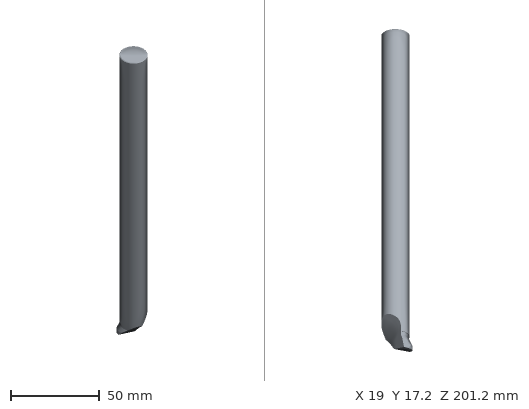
import cadquery as cq
import math

shank_diameter = 15.9
shank_radius = shank_diameter / 2
overall_length = 201.2
top_chamfer = 0.5

neck_top = 11.5
neck_bottom = 9.5
neck_radius = 7.6
flare_slope = 0.45
head_radius = 9.9
head_center_x = -1.2
head_center_y = 0.7

rake_angle = 5.0
rake_offset = 0.8

insert_tip_angle = 55.0
insert_lead_angle = 17.5
insert_edge = 7.8
insert_thickness = 2.5
insert_nose_radius = 0.6
insert_clearance = 7.0
tip_x = -11.3
tip_z = -0.08

end_clearance = 3.0
side_clearance = 8.0
side_clearance_length = 9.0

pocket_lead = 20.0
ramp_foot_z = 13.7
ramp_angle = 46.0
ramp_fillet = 9.0

bevel_top_z = 12.7
bevel_foot_z = 3.5

reach = 40.2

side_edge_angle = insert_lead_angle + insert_tip_angle


def on_rake_plane(shape):
    """Move a shape built on the XZ plane through the axis onto the rake plane."""
    return shape.rotate((0, 0, 0), (0, 0, 1), rake_angle).translate((0, rake_offset, 0))


def along(start, angle, distance):
    """Point at a distance from start, in a direction given in degrees from +X."""
    direction = math.radians(angle)
    return (start[0] + distance * math.cos(direction), start[1] + distance * math.sin(direction))


tip = (tip_x, tip_z)


def make_insert():
    """Diamond plate with a rounded nose, narrowing away from its rake face."""
    end_corner = along(tip, insert_lead_angle, insert_edge)
    side_corner = along(tip, side_edge_angle, insert_edge)
    far_corner = along(end_corner, side_edge_angle, insert_edge)
    plate = (
        cq.Workplane("XZ")
        .polyline([tip, end_corner, far_corner, side_corner])
        .close()
        .extrude(insert_thickness, taper=insert_clearance)
    )
    plate = plate.edges("<X and (not #Y)").fillet(insert_nose_radius)
    return on_rake_plane(plate)


def make_blank():
    """Bar, neck and flared head, before the flats are cut."""
    flare_radius = neck_radius + flare_slope * (neck_bottom - tip_z)
    blank = (
        cq.Workplane("XZ")
        .polyline([
            (0, tip_z),
            (flare_radius, tip_z),
            (neck_radius, neck_bottom),
            (neck_radius, neck_top),
            (shank_radius, neck_top),
            (shank_radius, overall_length - top_chamfer),
            (shank_radius - top_chamfer, overall_length),
            (0, overall_length),
        ])
        .close()
        .revolve(360, (0, 0, 0), (0, 1, 0))
    )
    trim = (
        cq.Workplane("XY", origin=(0, 0, tip_z))
        .circle(reach)
        .extrude(neck_bottom - tip_z)
        .cut(
            cq.Workplane("XY", origin=(head_center_x, head_center_y, tip_z))
            .circle(head_radius)
            .extrude(neck_bottom - tip_z)
        )
    )
    return blank.cut(trim)


def make_chip_pocket():
    """Space above the rake plane, closed at its upper end by a rounded ramp."""
    ramp_rise = reach / math.tan(math.radians(ramp_angle))
    pocket = (
        cq.Workplane("YZ", origin=(-reach, 0, 0))
        .polyline([
            (0, -reach),
            (0, ramp_foot_z),
            (reach, ramp_foot_z + ramp_rise),
            (reach, -reach),
        ])
        .close()
        .extrude(2 * reach)
    )
    foot = cq.selectors.NearestToPointSelector((0, 0, ramp_foot_z))
    pocket = pocket.edges(foot).fillet(ramp_fillet)
    return on_rake_plane(pocket.rotate((0, 0, 0), (0, 1, 0), pocket_lead))


def make_back_bevel():
    """Wedge below a plane that slopes down from the +X side of the bar."""
    slope = (bevel_top_z - bevel_foot_z) / shank_radius
    return (
        cq.Workplane("XZ", origin=(0, reach, 0))
        .polyline([
            (-reach, bevel_foot_z - slope * reach),
            (reach, bevel_foot_z + slope * reach),
            (reach, bevel_foot_z - slope * reach),
        ])
        .close()
        .extrude(2 * reach)
    )


def make_clearance(edge_angle, clearance, start, end, outward):
    """Block outside one cutting edge, leaning in under the insert by the clearance angle."""
    block = cq.Workplane("XY").box(end - start, 2 * reach, reach, centered=(False, True, False))
    block = block.translate((start, 0, 0))
    if outward < 0:
        block = block.mirror("XY")
    block = block.rotate((0, 0, 0), (1, 0, 0), outward * clearance)
    block = block.rotate((0, 0, 0), (0, 1, 0), -edge_angle)
    return on_rake_plane(block.translate((tip_x, 0, tip_z)))


insert = make_insert()
holder = make_blank().cut(make_chip_pocket()).cut(make_back_bevel())
holder = holder.cut(make_clearance(insert_lead_angle, end_clearance, -reach, reach, -1))
holder = holder.cut(make_clearance(side_edge_angle, side_clearance, -reach, side_clearance_length, 1))
holder = holder.cut(insert)

result = cq.Compound.makeCompound([holder.val(), insert.val()])